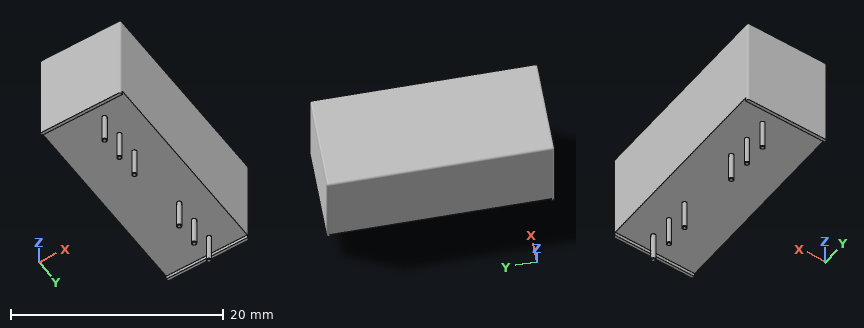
import cadquery as cq

case_width = 9.2
case_length = 21.85
total_height = 13.65
pin_projection = 2.97
case_height = total_height - pin_projection
edge_radius = 0.25

foot_thickness = 0.33
foot_height = 0.42

pin_diameter = 0.5
pin_tip_chamfer = 0.07
pin_row_x = 1.42
pin_pitch = 2.53
pin_steps = (-3.5, -2.5, -1.5, 1.5, 2.5, 3.5)


def make_case():
    """Block standing on z = 0, rounded everywhere except around its base."""
    block = cq.Workplane("XY").box(case_width, case_length, case_height, centered=(True, True, False))
    rounded = block.edges("|Z or >Z").fillet(edge_radius)
    underside_recess = cq.Workplane("XY").box(
        case_width, case_length - 2 * foot_thickness, foot_height, centered=(True, True, False)
    )
    return rounded.cut(underside_recess)


def make_pin(y):
    """Round pin hanging from the raised underside, with a chamfered tip."""
    pin = (
        cq.Workplane("XY", origin=(pin_row_x, y, -pin_projection))
        .circle(pin_diameter / 2)
        .extrude(pin_projection + foot_height)
    )
    return pin.faces("<Z").chamfer(pin_tip_chamfer)


result = make_case()
for step in pin_steps:
    result = result.union(make_pin(step * pin_pitch))